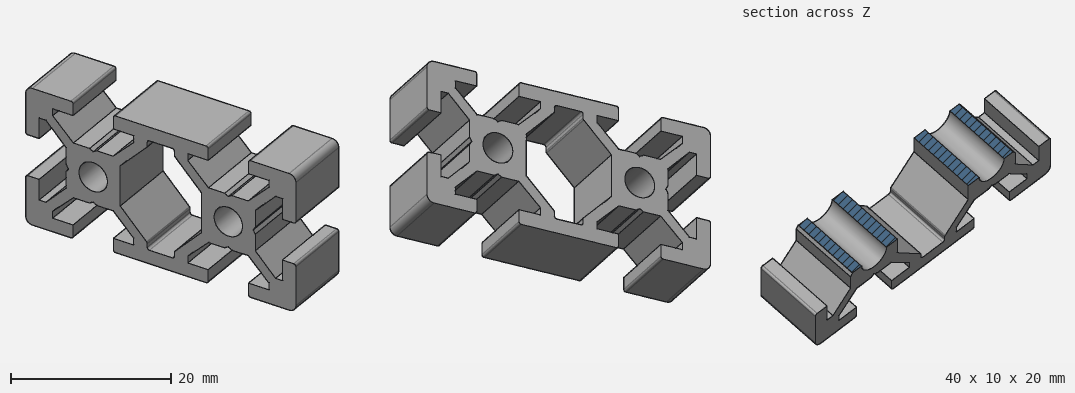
import cadquery as cq

cell = 20.0
profile_width = 2 * cell
profile_length = 10.0
bore_diameter = 4.2

lip_thickness = 2.0
slot_opening = 5.95
slot_inner_width = 12.0
slot_side_depth = 1.0
core_width = 8.0
core_flat = 5.9
groove_width = 1.05
groove_depth = 0.3

cavity_neck_width = 4.0

corner_radius = 1.0
lip_radius = 0.3
cavity_radius = 0.3

half_cell = cell / 2
slot_roof = half_cell - lip_thickness
slot_shoulder = slot_roof - slot_side_depth
core_half = core_width / 2
core_distance = half_cell - core_half
bore_centers = [-half_cell, half_cell]


def mirrored_outline(half_points):
    """Close an outline by repeating its right half mirrored across the vertical axis."""
    return half_points + [(-x, z) for x, z in reversed(half_points)]


def extrude_outline(points):
    """Extrude an XZ outline along Y over the profile length, centred on Y."""
    return cq.Workplane("XZ").polyline(points).close().extrude(profile_length / 2, both=True)


def slot_cutter():
    """T-slot opening upward from a bore centre at the origin, with its floor groove."""
    slot = extrude_outline(mirrored_outline([
        (groove_width / 2, core_half),
        (core_flat / 2, core_half),
        (slot_inner_width / 2, slot_shoulder),
        (slot_inner_width / 2, slot_roof),
        (slot_opening / 2, slot_roof),
        (slot_opening / 2, half_cell),
    ]))
    groove = extrude_outline([
        (-groove_width / 2, core_half),
        (groove_width / 2, core_half),
        (0, core_half - groove_depth),
    ])
    return slot.union(groove)


def cavity_cutter():
    """Octagon-like cavity between the two cores, with straight necks at top and bottom."""
    upper_half = [
        (core_distance, core_flat / 2),
        (cavity_neck_width / 2, slot_shoulder),
        (cavity_neck_width / 2, slot_roof),
    ]
    lower_half = [(x, -z) for x, z in reversed(upper_half)]
    cavity = extrude_outline(mirrored_outline(lower_half + upper_half))
    reach = (cavity_neck_width / 2 + core_distance) / 2
    neck_edges = cq.selectors.BoxSelector(
        (-reach, -profile_length, -half_cell),
        (reach, profile_length, half_cell),
    )
    return cavity.edges("|Y").edges(neck_edges).fillet(cavity_radius)


result = cq.Workplane("XY").box(profile_width, profile_length, cell)
result = result.edges("|Y").fillet(corner_radius)

slot = slot_cutter()
for center_x in bore_centers:
    outward_turn = 90 if center_x > 0 else -90
    for turn in (0, 180, outward_turn):
        turned_slot = slot.rotate((0, 0, 0), (0, 1, 0), turn)
        result = result.cut(turned_slot.translate((center_x, 0, 0)))

mouth = slot_opening / 2
lip_edge_points = [
    (center_x + side * mouth, face * half_cell)
    for center_x in bore_centers for side in (-1, 1) for face in (-1, 1)
]
lip_edge_points += [
    (face * profile_width / 2, side * mouth)
    for side in (-1, 1) for face in (-1, 1)
]
for x, z in lip_edge_points:
    lip_edge = cq.selectors.NearestToPointSelector((x, 0, z))
    result = result.edges("|Y").edges(lip_edge).fillet(lip_radius)

result = result.cut(cavity_cutter())

bores = (
    cq.Workplane("XZ")
    .pushPoints([(center_x, 0) for center_x in bore_centers])
    .circle(bore_diameter / 2)
    .extrude(profile_length / 2, both=True)
)
result = result.cut(bores)